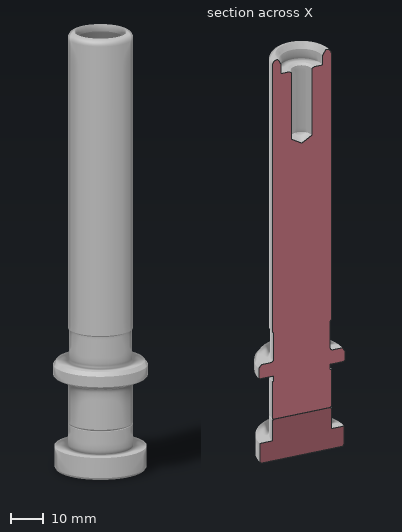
import cadquery as cq
import math

shank_radius = 10.0
neck_radius = 9.6

pin_top = 139.0
shank_bottom = 44.8
shank_bottom_chamfer = shank_radius - neck_radius
top_round = 2.0

flange_radius = 14.53
flange_bottom = 29.3
flange_top = 34.3
flange_top_chamfer_width = 1.0
flange_top_chamfer_height = 1.3
flange_bottom_chamfer = 0.4
flange_root_fillet = 0.8

spigot_top = 27.7
spigot_bottom = 14.3
spigot_bottom_chamfer = 0.5

rim_radius = shank_radius - top_round
recess_radius = 7.0
recess_cone_height = (rim_radius - recess_radius) * math.tan(math.radians(60))
recess_depth = 5.1
hole_radius = 3.3
hole_mouth_radius = 4.2
hole_mouth_height = 0.5
hole_depth = 23.6
drill_tip_height = hole_radius / math.tan(math.radians(59))

foot_radius = 14.2
foot_height = 7.1
foot_chamfer_width = 0.4
foot_chamfer_height = 0.7


def revolve_about_z(profile):
    """Turn a closed profile of (radius, height) points about the Z axis."""
    return profile.close().revolve(360, (0, 0, 0), (0, 1, 0))


def make_pin_blank():
    """Solid pin with its shank, neck, flange and spigot."""
    round_middle = top_round * math.sqrt(0.5)
    root_middle = flange_root_fillet * (1 - math.sqrt(0.5))
    profile = (
        cq.Workplane("XZ")
        .moveTo(0, spigot_bottom)
        .lineTo(shank_radius - spigot_bottom_chamfer, spigot_bottom)
        .lineTo(shank_radius, spigot_bottom + spigot_bottom_chamfer)
        .lineTo(shank_radius, spigot_top)
        .lineTo(neck_radius, spigot_top)
        .lineTo(neck_radius, flange_bottom)
        .lineTo(flange_radius - flange_bottom_chamfer, flange_bottom)
        .lineTo(flange_radius, flange_bottom + flange_bottom_chamfer)
        .lineTo(flange_radius, flange_top - flange_top_chamfer_height)
        .lineTo(flange_radius - flange_top_chamfer_width, flange_top)
        .lineTo(neck_radius + flange_root_fillet, flange_top)
        .threePointArc(
            (neck_radius + root_middle, flange_top + root_middle),
            (neck_radius, flange_top + flange_root_fillet),
        )
        .lineTo(neck_radius, shank_bottom - shank_bottom_chamfer)
        .lineTo(shank_radius, shank_bottom)
        .lineTo(shank_radius, pin_top - top_round)
        .threePointArc(
            (rim_radius + round_middle, pin_top - top_round + round_middle),
            (rim_radius, pin_top),
        )
        .lineTo(0, pin_top)
    )
    return revolve_about_z(profile)


def make_top_cavity():
    """Recess with a conical mouth, followed by a countersunk blind hole."""
    recess_floor = pin_top - recess_depth
    hole_floor = recess_floor - hole_depth
    profile = (
        cq.Workplane("XZ")
        .moveTo(0, pin_top)
        .lineTo(rim_radius, pin_top)
        .lineTo(recess_radius, pin_top - recess_cone_height)
        .lineTo(recess_radius, recess_floor)
        .lineTo(hole_mouth_radius, recess_floor)
        .lineTo(hole_radius, recess_floor - hole_mouth_height)
        .lineTo(hole_radius, hole_floor)
        .lineTo(0, hole_floor - drill_tip_height)
    )
    return revolve_about_z(profile)


def make_foot():
    """Broad disc with a boss on which the pin stands."""
    profile = (
        cq.Workplane("XZ")
        .lineTo(foot_radius - foot_chamfer_width, 0)
        .lineTo(foot_radius, foot_chamfer_height)
        .lineTo(foot_radius, foot_height)
        .lineTo(shank_radius, foot_height)
        .lineTo(shank_radius, spigot_bottom)
        .lineTo(0, spigot_bottom)
    )
    return revolve_about_z(profile)


pin = make_pin_blank().cut(make_top_cavity())
foot = make_foot()

result = cq.Compound.makeCompound([pin.val(), foot.val()])